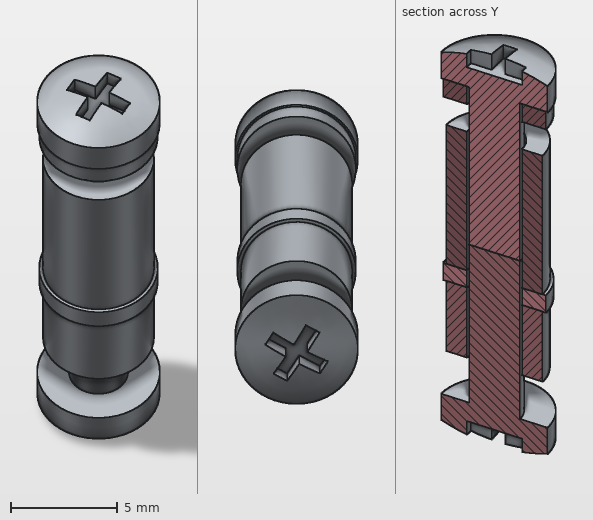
import cadquery as cq

head_rim_height = 1.5
dome_height = 0.5
washer_thickness = 1.0
upper_gap = 1.53
upper_sleeve_length = 7.88
lower_sleeve_length = 3.98
lower_gap = 2.5

head_diameter = 5.8
shank_diameter = 2.8
washer_diameter = 5.6
sleeve_diameter = 5.25
bore_diameter = 3.0

recess_length = 3.0
recess_width = 0.75
recess_depth = 0.9

lower_sleeve_base = lower_gap
middle_washer_base = lower_sleeve_base + lower_sleeve_length
upper_sleeve_base = middle_washer_base + washer_thickness
top_washer_base = upper_sleeve_base + upper_sleeve_length + upper_gap
grip_length = top_washer_base + washer_thickness
shank_length = grip_length / 2


def cross_recess():
    """Cross-shaped cutter reaching from the recess floor to the dome crown."""
    crown = head_rim_height + dome_height
    floor = cq.Workplane("XY").workplane(offset=crown - recess_depth)
    arm_x = floor.rect(recess_length, recess_width).extrude(recess_depth)
    arm_y = floor.rect(recess_width, recess_length).extrude(recess_depth)
    return arm_x.union(arm_y)


def screw():
    """Domed screw pointing down, with the underside of its head at Z = 0."""
    head_radius = head_diameter / 2
    crown = head_rim_height + dome_height
    dome_radius = (head_radius**2 + dome_height**2) / (2 * dome_height)
    mid_radius = head_radius / 2
    mid_height = crown - dome_radius + (dome_radius**2 - mid_radius**2) ** 0.5
    shank_radius = shank_diameter / 2
    profile = (
        cq.Workplane("XZ")
        .moveTo(0, -shank_length)
        .lineTo(shank_radius, -shank_length)
        .lineTo(shank_radius, 0)
        .lineTo(head_radius, 0)
        .lineTo(head_radius, head_rim_height)
        .threePointArc((mid_radius, mid_height), (0, crown))
        .close()
    )
    return profile.revolve(360, (0, 0), (0, 1)).cut(cross_recess())


def ring(outer_diameter, length, base):
    """Plain ring around the shanks, with slight clearance and its lower face at the height base."""
    return (
        cq.Workplane("XY")
        .workplane(offset=base)
        .circle(outer_diameter / 2)
        .circle(bore_diameter / 2)
        .extrude(length)
    )


screws = []
for head_level, turn in ((grip_length, 0), (0, 180)):
    placed = screw().rotate((0, 0, 0), (1, 0, 0), turn).translate((0, 0, head_level))
    screws.append(placed.val())

washers = []
for washer_base in (top_washer_base, middle_washer_base):
    washers.append(ring(washer_diameter, washer_thickness, washer_base).val())

sleeves = []
for length, base in (
    (lower_sleeve_length, lower_sleeve_base),
    (upper_sleeve_length, upper_sleeve_base),
):
    sleeves.append(ring(sleeve_diameter, length, base).val())

result = cq.Compound.makeCompound([*screws, *washers, *sleeves])